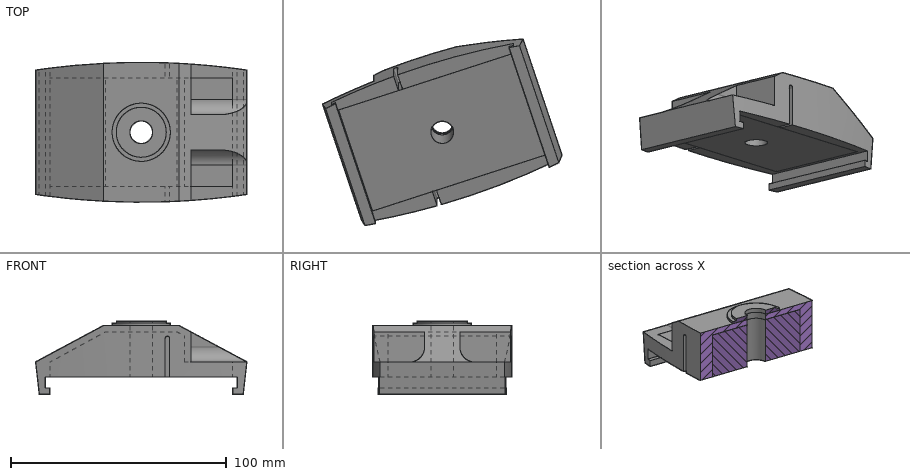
import cadquery as cq

length = 98.0
mid_width = 64.9
end_width = 57.7
top_z = 32.0

flat_top_length = 35.0
shoulder_z = 15.1
foot_length = 94.6

channel_roof_z = 8.0
channel_length = 88.8
lip_z = 3.0
lip_gap = 84.6

notch_x = 23.0
notch_floor_z = 15.0
post_width = 16.3
scoop_radius = 7.0

slot_x = 12.1
slot_width = 2.0
slot_top_z = 27.0

wall = 3.0
core_length = lip_gap
core_width = 50.2
core_top_z = top_z - wall
core_flat_length = 33.2

bore_diameter = 10.4
collar_diameter = 27.0
collar_step_diameter = 23.2
collar_step_height = 1.0


def side_profile(points, width):
    """Block with the given X-Z outline, centred on Y."""
    return cq.Workplane("XZ").polyline(points).close().extrude(width / 2, both=True)


def bore():
    """Round cutter through all three bodies."""
    return cq.Workplane("XY").circle(bore_diameter / 2).extrude(2 * top_z)


def bowed_plan():
    """Plan of the shell: straight ends, sides bowed outward as arcs."""
    end_x = length / 2
    end_y = end_width / 2
    return (
        cq.Workplane("XY")
        .moveTo(-end_x, -end_y)
        .threePointArc((0, -mid_width / 2), (end_x, -end_y))
        .lineTo(end_x, end_y)
        .threePointArc((0, mid_width / 2), (-end_x, end_y))
        .close()
        .extrude(top_z)
    )


def shell_outline():
    """X-Z outline of the shell, including the rail channel."""
    right_half = [
        (flat_top_length / 2, top_z),
        (length / 2, shoulder_z),
        (foot_length / 2, 0),
        (lip_gap / 2, 0),
        (lip_gap / 2, lip_z),
        (channel_length / 2, lip_z),
        (channel_length / 2, channel_roof_z),
    ]
    left_half = [(-x, z) for x, z in reversed(right_half)]
    return right_half + left_half


def notch(side):
    """Cut beside the post: flat floor that sweeps up into the post wall."""
    post_y = post_width / 2
    fillet_end = (post_y + scoop_radius, notch_floor_z)
    fillet_start = (post_y, notch_floor_z + scoop_radius)
    cutter = (
        cq.Workplane("YZ", origin=(notch_x, 0, 0))
        .moveTo(post_y, top_z)
        .lineTo(*fillet_start)
        .radiusArc(fillet_end, -scoop_radius)
        .lineTo(mid_width, notch_floor_z)
        .lineTo(mid_width, top_z)
        .close()
        .extrude(length / 2)
    )
    return cutter if side > 0 else cutter.mirror("XZ")


def wall_slot():
    """Slot with a rounded top, open at the channel roof."""
    arch_z = slot_top_z - slot_width / 2
    left = slot_x - slot_width / 2
    right = slot_x + slot_width / 2
    return (
        cq.Workplane("XZ")
        .moveTo(left, 0)
        .lineTo(left, arch_z)
        .threePointArc((slot_x, slot_top_z), (right, arch_z))
        .lineTo(right, 0)
        .close()
        .extrude(mid_width / 2, both=True)
    )


def core_block():
    """Block following the roof, stepped down to the notch floor on the +X side."""
    step_x = notch_x - wall
    half_flat = core_flat_length / 2
    half_length = core_length / 2
    roof_slope = (core_top_z - notch_floor_z) / (half_length - half_flat)
    step_top_z = core_top_z - roof_slope * (step_x - half_flat)
    outline = [
        (-half_length, channel_roof_z),
        (-half_length, notch_floor_z),
        (-half_flat, core_top_z),
        (half_flat, core_top_z),
        (step_x, step_top_z),
        (step_x, notch_floor_z),
        (half_length, notch_floor_z),
        (half_length, channel_roof_z),
    ]
    return side_profile(outline, core_width)


def make_shell():
    shell = bowed_plan().intersect(side_profile(shell_outline(), 2 * mid_width))
    for side in (-1, 1):
        shell = shell.cut(notch(side))
    return shell.cut(wall_slot()).cut(core_block()).cut(bore())


def make_core():
    return core_block().cut(bore())


def make_collar():
    collar = (
        cq.Workplane("XY", origin=(0, 0, top_z))
        .circle(collar_diameter / 2)
        .extrude(collar_step_height)
        .faces(">Z")
        .workplane()
        .circle(collar_step_diameter / 2)
        .extrude(collar_step_height)
    )
    return collar.cut(bore())


shell = make_shell()
core = make_core()
collar = make_collar()

result = cq.Compound.makeCompound([*shell.solids().vals(), *core.solids().vals(), *collar.solids().vals()])